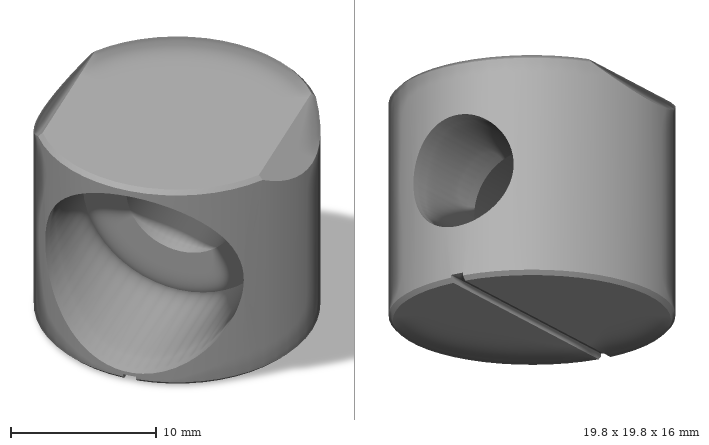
import cadquery as cq

body_diameter = 19.75
body_height = 16
rim_chamfer = 0.3
flat_half_spacing = 7.9
hole_diameter = 8.1
bore_diameter = 14.5
bore_floor_y = 1.0
slot_width = 0.95
slot_depth = 0.5

body_radius = body_diameter / 2
hole_height = body_height / 2
bevel_drop = body_radius - flat_half_spacing


def chamfered_body():
    body = cq.Workplane("XY").circle(body_radius).extrude(body_height)
    return body.faces("<Z or >Z").edges().chamfer(rim_chamfer)


def side_bevel(side):
    """45 degree wedge along Y at the top; side is +1 or -1 along X."""
    return (
        cq.Workplane("XZ")
        .moveTo(side * flat_half_spacing, body_height)
        .lineTo(side * body_radius, body_height)
        .lineTo(side * body_radius, body_height - bevel_drop)
        .close()
        .extrude(body_radius, both=True)
    )


def cross_cylinder(diameter, end_y):
    """Cylinder along Y from the front of the body to end_y."""
    return (
        cq.Workplane("XZ", origin=(0, end_y, hole_height))
        .circle(diameter / 2)
        .extrude(body_radius + end_y)
    )


result = chamfered_body()
for side in (-1, 1):
    result = result.cut(side_bevel(side))

result = result.cut(cross_cylinder(bore_diameter, bore_floor_y))
result = result.cut(cross_cylinder(hole_diameter, body_radius))

slot = cq.Workplane("XY").rect(slot_width, body_diameter).extrude(slot_depth)
result = result.cut(slot)